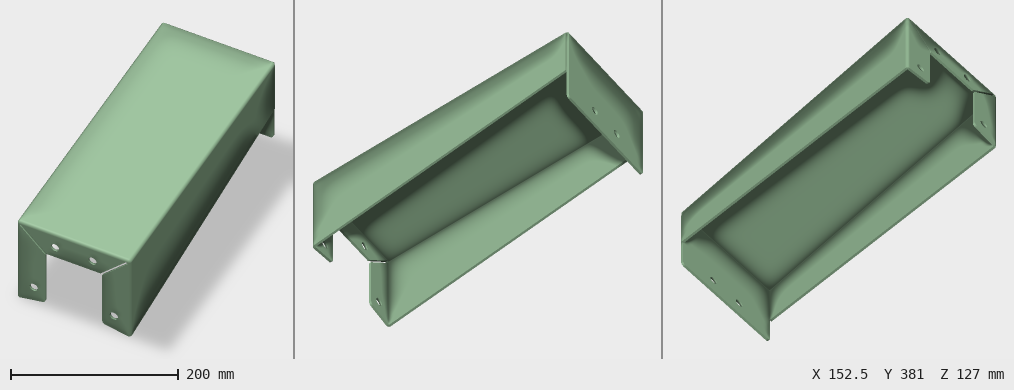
import cadquery as cq
import math

width = 152.5
length = 381.0
height = 127.0
thickness = 3.0
bend_radius = 4.0
inner_radius = bend_radius - thickness

flange_width = 38.0
mitre_gap = 3.0
flange_slope = 11.0
flange_corner_radius = 5.0
side_depth_back = 76.2

back_plate_inset = 2.3
back_corner_radius = 4.5

hole_diameter = 11.0
hole_edge_distance = 22.5
top_hole_x = 25.0
low_hole_z = 25.0
back_hole_x = 21.7

half_width = width / 2
back_inner_y = length - thickness


def rounded_block(inset, radius):
    """Block with a rounded front and top, running past the back and the bottom."""
    block_width = width - 2 * inset
    top_z = height - inset
    block = cq.Workplane("XY").box(
        block_width, 2 * length, 2 * height, centered=(True, False, False)
    )
    block = block.translate((0, inset, top_z - 2 * height))
    block = block.edges("|Z and <Y").fillet(radius)
    return block.faces(">Z").edges("not >Y").fillet(radius)


def front_prism(points, depth):
    """Extrude an XZ outline from the front face toward +Y."""
    return cq.Workplane("XZ").polyline(points).close().extrude(-depth)


def side_outline():
    """Side profile that keeps the sloping walls and stops at the back plate."""
    points = [
        (0, 0),
        (bend_radius, 0),
        (back_inner_y, height - side_depth_back),
        (back_inner_y, height),
        (0, height),
    ]
    return cq.Workplane("YZ").polyline(points).close().extrude(half_width, both=True)


def flange_opening():
    """Opening between the front flanges, including their sloping lower edges."""
    inner_x = half_width - flange_width
    bend_x = half_width - bend_radius
    slope_z = (bend_x - inner_x) * math.tan(math.radians(flange_slope))
    top_z = height - flange_width
    opening = front_prism(
        [
            (-bend_x, 0),
            (-inner_x, slope_z),
            (-inner_x, top_z),
            (inner_x, top_z),
            (inner_x, slope_z),
            (bend_x, 0),
        ],
        bend_radius,
    )
    for side in (-1, 1):
        corner = cq.selectors.NearestToPointSelector((side * inner_x, bend_radius / 2, slope_z))
        opening = opening.edges(corner).fillet(flange_corner_radius)
    return opening


def mitre_slot(side):
    """45 degree gap between the top flange and one side flange."""
    half_gap = mitre_gap / math.sqrt(2)
    start = bend_radius
    end = flange_width + mitre_gap
    points = [
        (start + half_gap, start),
        (end + half_gap, end),
        (end, end + half_gap),
        (start, start + half_gap),
    ]
    return front_prism([(side * (half_width - x), height - z) for x, z in points], thickness)


def hole(x, y, z):
    """Hole through one sheet whose front surface is at y."""
    return cq.Workplane("XZ", origin=(x, y, z)).circle(hole_diameter / 2).extrude(-thickness)


def back_plate():
    """Full-height plate folded down from the top sheet."""
    bend_y = length - bend_radius
    bend_z = height - bend_radius
    diagonal = math.sqrt(0.5)
    plate = (
        cq.Workplane("YZ")
        .moveTo(length, 0)
        .lineTo(length, bend_z)
        .threePointArc(
            (bend_y + bend_radius * diagonal, bend_z + bend_radius * diagonal),
            (bend_y, height),
        )
        .lineTo(bend_y, height - thickness)
        .threePointArc(
            (bend_y + inner_radius * diagonal, bend_z + inner_radius * diagonal),
            (back_inner_y, bend_z),
        )
        .lineTo(back_inner_y, 0)
        .close()
        .extrude(half_width - back_plate_inset, both=True)
    )
    return plate.edges("|Y and <Z").fillet(back_corner_radius)


cover = rounded_block(0, bend_radius).cut(rounded_block(thickness, inner_radius))
cover = cover.intersect(side_outline()).cut(flange_opening())
result = cover.union(back_plate())

for side in (-1, 1):
    result = result.cut(mitre_slot(side))
    result = result.cut(hole(side * top_hole_x, 0, height - hole_edge_distance))
    result = result.cut(hole(side * (half_width - hole_edge_distance), 0, low_hole_z))
    result = result.cut(hole(side * back_hole_x, back_inner_y, low_hole_z))